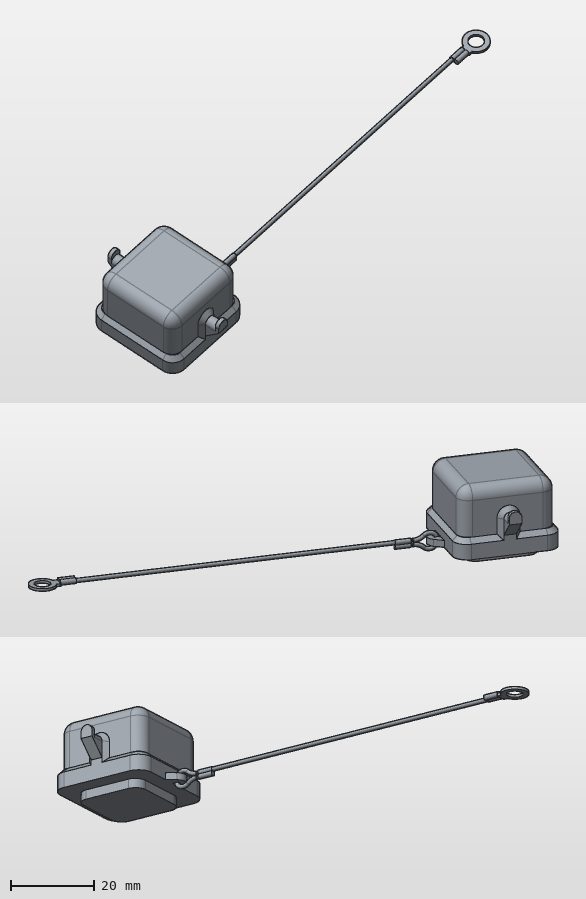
import cadquery as cq
import math


rim_size = 26.6
rim_corner_radius = 3.65
rim_straight_height = 4.0
body_length_x = 24.0
body_length_y = 24.2
body_radius = 3.2
body_top = 17.9
rim_slope = (rim_size - body_length_x) / 2
plug_length_x = 17.9
plug_length_y = 18.2
plug_radius = 2.9
plug_depth = 2.4

lug_span = 35.0
lug_center_y = -0.15
lug_axis_z = 9.5
lug_width = 3.2
lug_flange_thickness = 1.1
lug_flange_top = 12.7
lug_foot_bottom = 1.0

tab_thickness = 1.8
tab_base_width = 7.1
tab_length = 3.25
tab_nose_radius = 2.45
tab_embed = 1.0

wire_diameter = 1.1
strand_spacing = 1.05
crimp_diameter = 1.35
loop_radius = 2.05
loop_center_y = rim_size / 2 + 2.65
loop_center_z = 0.8
loop_bend_y = 19.9
loop_end_y = 20.15
neck_diameter = 0.7
crimp_start_y = 20.7
crimp_length = 4.0
cord_z = loop_center_z + strand_spacing / 2

total_length = 130.25
ring_outer_diameter = 6.8
ring_hole_diameter = 4.0
ring_thickness = 0.7
barrel_diameter = 1.45
barrel_spacing = 1.3
barrel_length = 4.0
ring_to_barrel = 4.2
ring_center_x = barrel_spacing / 2
ring_center_y = total_length - rim_size / 2 - ring_outer_diameter / 2
barrel_end_y = ring_center_y - ring_to_barrel
barrel_start_y = barrel_end_y - barrel_length


def rounded_block(length_x, length_y, corner_radius, bottom, top):
    block = cq.Workplane("XY").workplane(offset=bottom).rect(length_x, length_y).extrude(top - bottom)
    return block.edges("|Z").fillet(corner_radius)


def rod_along_y(diameter, start_y, end_y, x, z):
    start = cq.Vector(x, start_y, z)
    return cq.Workplane(cq.Solid.makeCylinder(diameter / 2, end_y - start_y, start, cq.Vector(0, 1, 0)))


def make_cap_shell():
    rim = rounded_block(rim_size, rim_size, rim_corner_radius, 0, rim_straight_height + rim_slope)
    rim = rim.faces(">Z").edges().chamfer(rim_slope)
    body = cq.Workplane("XY").rect(body_length_x, body_length_y).extrude(body_top)
    body = body.edges("|Z or >Z").fillet(body_radius)
    plug = rounded_block(plug_length_x, plug_length_y, plug_radius, -plug_depth, 0)
    return rim.union(body).union(plug)


def arched_slab(half_width, bottom, arch_center, start_x, end_x):
    """Upright slab with a semicircular top, spanning start_x to end_x."""
    return (
        cq.Workplane("YZ", origin=(start_x, lug_center_y, 0))
        .moveTo(-half_width, bottom)
        .lineTo(half_width, bottom)
        .lineTo(half_width, arch_center)
        .threePointArc((0, arch_center + half_width), (-half_width, arch_center))
        .close()
        .extrude(end_x - start_x)
    )


def make_lug():
    """Lug on the +X side: flared foot, round-topped bar, end flange and sloped underside."""
    half_width = lug_width / 2
    wall_x = body_length_x / 2
    rim_x = rim_size / 2
    end_x = lug_span / 2
    foot_depth = rim_x - wall_x
    foot = arched_slab(half_width + foot_depth, lug_foot_bottom, lug_axis_z, wall_x - foot_depth, rim_x)
    foot = foot.faces(">X").edges("not <Z").chamfer(foot_depth)
    underside_z = lug_axis_z - (end_x - wall_x)
    bar = arched_slab(half_width, underside_z, lug_axis_z, wall_x, end_x)
    flange_arch_z = lug_flange_top - half_width
    flange = arched_slab(half_width, underside_z, flange_arch_z, end_x - lug_flange_thickness, end_x)
    slope_cut = (
        cq.Workplane("XZ", origin=(0, lug_center_y, 0))
        .moveTo(wall_x, underside_z)
        .lineTo(end_x, lug_axis_z)
        .lineTo(end_x, underside_z)
        .close()
        .extrude(half_width, both=True)
    )
    return foot.union(bar.union(flange).cut(slope_cut))


def make_tab():
    """Flat tab on the back of the rim: straight converging sides and a tangent round nose."""
    half_base = tab_base_width / 2
    nose_y = tab_length - tab_nose_radius
    base_angle = math.atan2(nose_y, half_base)
    tangent_angle = math.acos(tab_nose_radius / math.hypot(half_base, nose_y)) - base_angle
    tangent_x = tab_nose_radius * math.cos(tangent_angle)
    tangent_y = nose_y + tab_nose_radius * math.sin(tangent_angle)
    return (
        cq.Workplane("XY", origin=(0, rim_size / 2, 0))
        .moveTo(-half_base, -tab_embed)
        .lineTo(half_base, -tab_embed)
        .lineTo(half_base, 0)
        .lineTo(tangent_x, tangent_y)
        .threePointArc((0, tab_length), (-tangent_x, tangent_y))
        .lineTo(-half_base, 0)
        .close()
        .extrude(tab_thickness)
    )


def make_wire_slot():
    """Slot through the tab, just long enough for the curved wire and exactly as wide."""
    inner_radius = loop_radius - wire_diameter / 2
    slot_start = loop_center_y - loop_radius - wire_diameter / 2
    slot_end = loop_center_y - math.sqrt(inner_radius**2 - (tab_thickness - loop_center_z) ** 2)
    slot_center = (slot_start + slot_end) / 2
    return (
        cq.Workplane("XY", origin=(0, slot_center, 0))
        .rect(wire_diameter, slot_end - slot_start)
        .extrude(tab_thickness)
    )


def make_half_loop():
    """Upper half of the wire loop: straight tail, reverse bend and round eye, all tangent."""
    tail_y = loop_end_y - loop_center_y
    bend_y = loop_bend_y - loop_center_y
    bend_z = strand_spacing / 2
    bend_radius = (bend_y**2 + bend_z**2 - loop_radius**2) / (2 * (loop_radius - bend_z))
    bend_center_z = bend_z + bend_radius
    tangent_angle = math.atan2(bend_center_z, bend_y)
    bend_middle_angle = (tangent_angle - math.pi / 2) / 2 - math.pi / 2
    bend_middle = (
        bend_y + bend_radius * math.cos(bend_middle_angle),
        bend_center_z + bend_radius * math.sin(bend_middle_angle),
    )

    def on_eye(angle):
        return (loop_radius * math.cos(angle), loop_radius * math.sin(angle))

    path = (
        cq.Workplane("YZ", origin=(0, loop_center_y, loop_center_z))
        .moveTo(tail_y, bend_z)
        .lineTo(bend_y, bend_z)
        .threePointArc(bend_middle, on_eye(tangent_angle))
        .threePointArc(on_eye((tangent_angle + math.pi) / 2), on_eye(math.pi))
    )
    profile = cq.Workplane("XZ", origin=(0, loop_end_y, cord_z)).circle(wire_diameter / 2)
    return profile.sweep(path)


def make_loop():
    upper = make_half_loop()
    lower = upper.mirror("XY", (0, 0, loop_center_z))
    return upper.union(lower)


def make_loop_crimp():
    """Pair of merged tubes, one above the other, with a thin neck to the loop."""
    crimp_end_y = crimp_start_y + crimp_length
    neck = rod_along_y(neck_diameter, loop_bend_y, crimp_start_y, 0, loop_center_z)
    upper = rod_along_y(crimp_diameter, crimp_start_y, crimp_end_y, 0, cord_z)
    lower = rod_along_y(crimp_diameter, crimp_start_y, crimp_end_y, 0, cord_z - strand_spacing)
    return upper.union(lower).union(neck)


def make_ring_terminal():
    """Flat eyelet on a pair of merged barrels lying side by side."""
    bottom = cord_z - barrel_diameter / 2
    plate = cq.Workplane("XY", origin=(ring_center_x, ring_center_y, bottom))
    eyelet = plate.circle(ring_outer_diameter / 2).extrude(ring_thickness)
    shank_width = barrel_spacing + barrel_diameter
    shank = plate.center(0, -ring_to_barrel / 2).rect(shank_width, ring_to_barrel).extrude(ring_thickness)
    hole = plate.circle(ring_hole_diameter / 2).extrude(ring_thickness)
    terminal = eyelet.union(shank).cut(hole)
    for barrel_x in (0, barrel_spacing):
        barrel = rod_along_y(barrel_diameter, barrel_start_y, barrel_end_y, barrel_x, cord_z)
        terminal = terminal.union(barrel)
    return terminal


def make_cap():
    lug = make_lug()
    cap = make_cap_shell().union(lug).union(lug.mirror("YZ"))
    return cap.union(make_tab()).cut(make_wire_slot())


def make_cord():
    wire = rod_along_y(wire_diameter, crimp_start_y, barrel_end_y, 0, cord_z)
    return wire.union(make_loop_crimp()).union(make_loop()).union(make_ring_terminal())


cap = make_cap()
cord = make_cord()
result = cq.Compound.makeCompound([cap.solids().val(), cord.solids().val()])